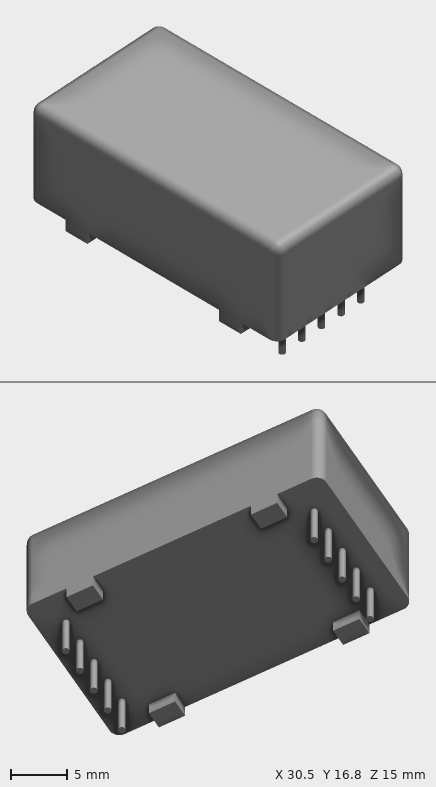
import cadquery as cq

length = 30.48
width = 16.75
total_height = 14.97
pin_length = 4.2
case_height = total_height - pin_length
edge_radius = 0.98

pin_diameter = 0.67
row_spacing = 25.4
pin_pitch = row_spacing / 10
pins_per_row = 5

foot_length = 2.68
foot_width = 1.83
foot_height = 1.28
foot_spacing = 18.85


def make_case():
    """Block with rounded vertical and top edges, resting on Z = 0."""
    block = cq.Workplane("XY").box(length, width, case_height, centered=(True, True, False))
    return block.edges("|Z or >Z").fillet(edge_radius)


def make_pins():
    """Two rows of round pins hanging below the case."""
    return (
        cq.Workplane("XY")
        .rarray(row_spacing, pin_pitch, 2, pins_per_row)
        .circle(pin_diameter / 2)
        .extrude(-pin_length)
    )


def make_feet():
    """Four rectangular feet under the long sides."""
    return (
        cq.Workplane("XY")
        .rarray(foot_spacing, width - foot_width, 2, 2)
        .rect(foot_length, foot_width)
        .extrude(-foot_height)
    )


result = make_case().union(make_pins()).union(make_feet())